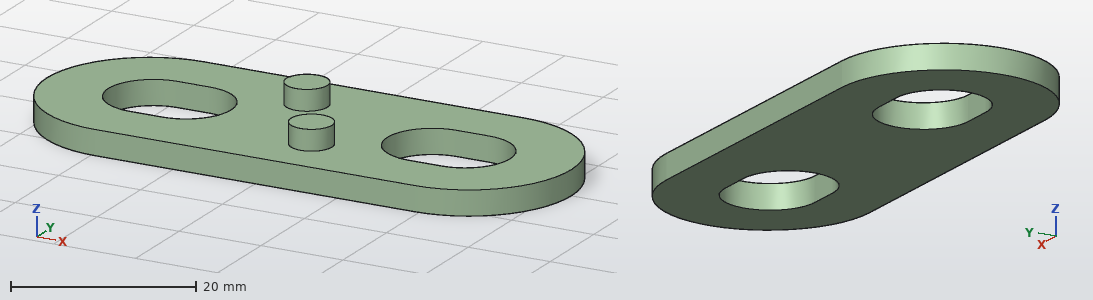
import cadquery as cq

plate_length = 64.0
plate_width = 25.0
plate_thickness = 3.0
overall_height = 5.5

slot_length = 15.0
slot_width = 11.0
slot_offset = 17.0

pin_diameter = 5.0
pin_offset_x = 3.25
pin_offset_y = 5.6
pin_height = overall_height - plate_thickness


def make_plate():
    return cq.Workplane("XY").slot2D(plate_length, plate_width).extrude(plate_thickness)


def cut_slots(body):
    centres = [(-slot_offset, 0), (slot_offset, 0)]
    return (
        body.faces(">Z")
        .workplane(origin=(0, 0, plate_thickness))
        .pushPoints(centres)
        .slot2D(slot_length, slot_width)
        .cutThruAll()
    )


def make_pins():
    centres = [(-pin_offset_x, pin_offset_y), (pin_offset_x, -pin_offset_y)]
    return (
        cq.Workplane("XY")
        .workplane(offset=plate_thickness)
        .pushPoints(centres)
        .circle(pin_diameter / 2)
        .extrude(pin_height)
    )


result = cut_slots(make_plate()).union(make_pins())